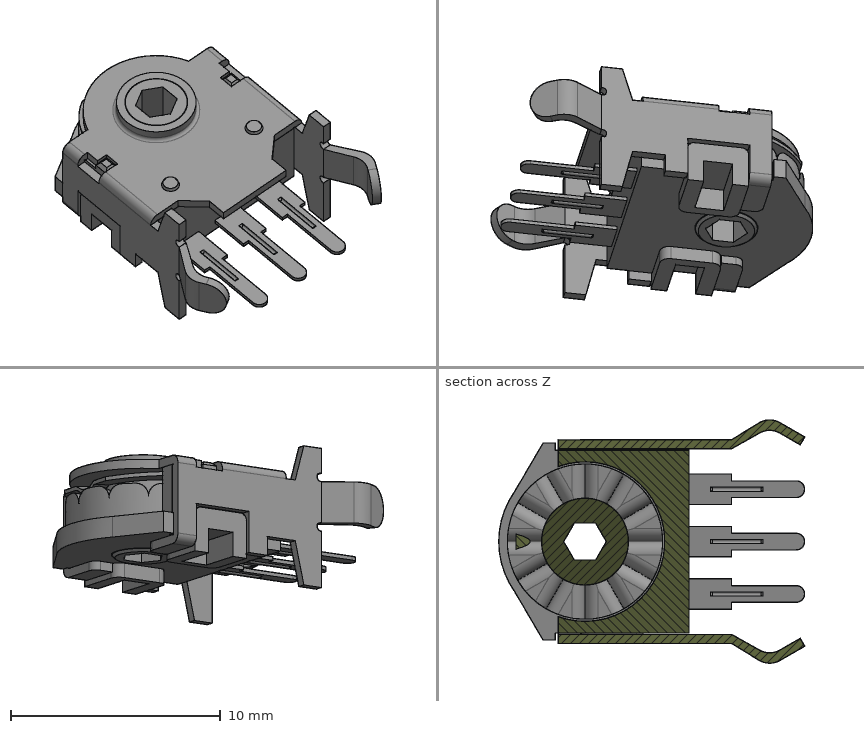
import cadquery as cq
import math


SHEET = 0.44
HALF_WIDTH = 4.86
INNER_HALF_WIDTH = HALF_WIDTH - SHEET
PLATE_BOTTOM = 3.45
PLATE_TOP = PLATE_BOTTOM + SHEET
COVER_FRONT = -1.28
FOLD_END = 4.96
COVER_BACK = 7.0
NOSE_RADIUS = 3.49
PLATE_WIDE_Y = 3.1
TONGUE_START = 5.99
TONGUE_Y = 2.01

BOSS_DIA = 3.8
BOSS_TOP = 4.47
BOSS_FILLET = 0.18
HUB_HOLE_DIA = 3.0

LEG_TOP = 5.18
LEG_BOTTOM = -1.62
LEG_ROOT_X = 5.48
LEG_TIP_X = 5.97
SIDE_LOW_Z = 0.48
SIDE_STEP_X = 3.88

FOOT_WINDOW_X = (-0.2, 2.8)
FOOT_WINDOW_TOP = 1.58
TAB_INNER_Y = 2.28
TAB_CORNER_RADIUS = 0.4

FOLD_WINDOW_X = (-0.2, 1.28)
FOLD_WINDOW_BOTTOM = 3.36
FOLD_WINDOW_INNER_Y = 4.23
NUB_X = (0.51, 1.28)
NUB_Y = (3.66, 4.37)

ARM_BOTTOM = 1.55
ARM_TOP = 3.56
ARM_BEND_RADIUS = 0.98
ARM_BEND_X = 8.8
ARM_SPAN = 11.6
ARM_REACH = ARM_SPAN / 2
ARM_ANGLE = math.radians(30)
ARM_TIP_LENGTH = 1.37
RELIEF_RADIUS = 0.2
RELIEF_X = 6.95

FLOOR_TOP = 1.01
BASE_HALF_WIDTH = NUB_Y[1]
LIP_HALF_WIDTH = 4.7
LIP_RADIUS = 4.12
LIP_ARC_Y = 2.38
LIP_CORNER_X = -2.0
LIP_BACK = -1.42
CAVITY_RADIUS = 3.8
POST_DIA = 0.85
POST_TIP_DIA = 0.73
POST_X = 3.97
POST_Y = 2.69
POST_TOP = 4.03
NUB_TOP = 3.85
NUB_CHAMFER = 0.18
FOOT_X = (-0.18, 2.77)
FOOT_BOTTOM = -0.7
FOOT_TOP = 1.47
FOOT_INNER_Y = 1.99
FOOT_CORNER_RADIUS = 0.47
FOOT_TOP_RADIUS = 0.32
FOOT_NOTCH_X = (0.6, 2.0)
FOOT_NOTCH_TOP = 0.48
FOOT_NOTCH_INNER_Y = FOOT_INNER_Y + FOOT_CORNER_RADIUS

ROTOR_DIA = 7.4
ROTOR_TOP = 2.67
COLLAR_DIA = 4.15
HUB_DIA = 2.95
HUB_BOTTOM = -0.15
HUB_CHAMFER = 0.13
HEX_ACROSS_FLATS = 1.75
NOTCH_COUNT = 12
NOTCH_RADIUS = 0.63

SPRING_THICKNESS = 0.19
SPRING_OUTER_X = -0.36
SPRING_OUTER_RADIUS = 3.46
SPRING_INNER_X = -0.22
SPRING_INNER_RADIUS = 2.38
SPRING_FRONT = -3.36
SPRING_BEND_X = 0.36
SPRING_FRONT_DROP = 0.38
DETENT_HALF_WIDTH = 0.76
DETENT_NOSE_Y = 0.38
DETENT_FLANK_DROP = 0.2
DETENT_DROP = 0.28

PIN_PITCH = 2.5
PIN_WIDTH = 0.8
PIN_SHOULDER_WIDTH = 1.46
PIN_END = 10.47
PIN_BOTTOM = 0.48
PIN_THICKNESS = 0.19
BEAD_RADIUS = 0.1
BEAD_X = (5.99, 8.48)


def block(x, y, z):
    """Box between the two limits given for each axis."""
    size = [abs(limits[1] - limits[0]) for limits in (x, y, z)]
    corner = (min(x), min(y), min(z))
    return cq.Workplane("XY").box(*size, centered=False).translate(corner)


def cylinder(diameter, bottom, top):
    """Cylinder on the rotor axis."""
    return cq.Workplane("XY").workplane(offset=bottom).circle(diameter / 2).extrude(top - bottom)


def both_sides(body):
    """The +Y half feature together with its mirror image on the -Y side."""
    return body.union(body.mirror("XZ"))



def top_plate():
    """Top plate with a round nose in front and a tongue narrowed by slanted edges at the back."""
    nose_y = math.sqrt(NOSE_RADIUS**2 - COVER_FRONT**2)
    outline = (
        cq.Workplane("XY")
        .workplane(offset=PLATE_BOTTOM)
        .moveTo(COVER_FRONT, nose_y)
        .lineTo(COVER_FRONT, INNER_HALF_WIDTH)
        .lineTo(FOLD_END, INNER_HALF_WIDTH)
        .lineTo(FOLD_END, PLATE_WIDE_Y)
        .lineTo(TONGUE_START, TONGUE_Y)
        .lineTo(COVER_BACK, TONGUE_Y)
        .lineTo(COVER_BACK, -TONGUE_Y)
        .lineTo(TONGUE_START, -TONGUE_Y)
        .lineTo(FOLD_END, -PLATE_WIDE_Y)
        .lineTo(FOLD_END, -INNER_HALF_WIDTH)
        .lineTo(COVER_FRONT, -INNER_HALF_WIDTH)
        .lineTo(COVER_FRONT, -nose_y)
        .threePointArc((-NOSE_RADIUS, 0), (COVER_FRONT, nose_y))
        .close()
    )
    return outline.extrude(SHEET)


def boss():
    """Collar on the top plate with a fillet at its foot."""
    radius = BOSS_DIA / 2
    diagonal = BOSS_FILLET * (1 - math.sqrt(0.5))
    return (
        cq.Workplane("XZ")
        .moveTo(0, PLATE_TOP)
        .lineTo(radius + BOSS_FILLET, PLATE_TOP)
        .threePointArc((radius + diagonal, PLATE_TOP + diagonal), (radius, PLATE_TOP + BOSS_FILLET))
        .lineTo(radius, BOSS_TOP)
        .lineTo(0, BOSS_TOP)
        .close()
        .revolve(360, (0, 0), (0, 1))
    )


def side_wall():
    """Flat side wall on the +Y side with the solder legs at its back end."""
    outline = [
        (COVER_FRONT, 0),
        (FOOT_WINDOW_X[0], 0),
        (FOOT_WINDOW_X[0], FOOT_WINDOW_TOP),
        (FOOT_WINDOW_X[1], FOOT_WINDOW_TOP),
        (FOOT_WINDOW_X[1], -SHEET),
        (SIDE_STEP_X, -SHEET),
        (SIDE_STEP_X, SIDE_LOW_Z),
        (LEG_ROOT_X, SIDE_LOW_Z),
        (LEG_TIP_X, LEG_BOTTOM),
        (COVER_BACK, LEG_BOTTOM),
        (COVER_BACK, LEG_TOP),
        (LEG_TIP_X, LEG_TOP),
        (LEG_ROOT_X, PLATE_BOTTOM),
        (COVER_FRONT, PLATE_BOTTOM),
    ]
    wall = cq.Workplane("XZ", origin=(0, HALF_WIDTH, 0)).polyline(outline).close().extrude(SHEET)
    for z in (ARM_BOTTOM - RELIEF_RADIUS, ARM_TOP + RELIEF_RADIUS):
        relief = (
            cq.Workplane("XZ", origin=(RELIEF_X, HALF_WIDTH, z))
            .circle(RELIEF_RADIUS)
            .extrude(SHEET)
        )
        wall = wall.cut(relief)
    return wall


def fold(x, axis_z, upward):
    """Quarter-round sheet fold along X between a side wall and a level sheet."""
    rod = (
        cq.Workplane("YZ", origin=(x[0], INNER_HALF_WIDTH, axis_z))
        .circle(SHEET)
        .extrude(x[1] - x[0])
    )
    far_z = axis_z + (SHEET if upward else -SHEET)
    return rod.intersect(block(x, (INNER_HALF_WIDTH, HALF_WIDTH), (axis_z, far_z)))


def bottom_tab():
    """Tab folded in under the base at the front of the side wall."""
    x = (COVER_FRONT, FOOT_WINDOW_X[0])
    tab = block(x, (TAB_INNER_Y, INNER_HALF_WIDTH), (-SHEET, 0))
    tab = tab.edges("|Z and <X and <Y").fillet(TAB_CORNER_RADIUS)
    return tab.union(fold(x, 0, upward=False))


def arm():
    """Spring arm on the +Y side: bent outwards, back inwards, with a round end."""
    sine, cosine = math.sin(ARM_ANGLE), math.cos(ARM_ANGLE)
    start_x = ARM_BEND_X - ARM_BEND_RADIUS * sine
    end_x = ARM_BEND_X + ARM_BEND_RADIUS * sine
    outer_y = ARM_REACH - ARM_BEND_RADIUS * (1 - cosine)
    inner_shift = SHEET / cosine
    height = ARM_TOP - ARM_BOTTOM
    strip = (
        cq.Workplane("XY")
        .workplane(offset=ARM_BOTTOM)
        .moveTo(COVER_BACK, INNER_HALF_WIDTH)
        .lineTo(start_x, outer_y - inner_shift)
        .threePointArc((ARM_BEND_X, ARM_REACH - inner_shift), (end_x, outer_y - inner_shift))
        .lineTo(end_x, outer_y)
        .threePointArc((ARM_BEND_X, ARM_REACH), (start_x, outer_y))
        .lineTo(COVER_BACK, HALF_WIDTH)
        .close()
        .extrude(height)
    )
    tip_plane = cq.Plane(
        origin=(end_x, outer_y, ARM_BOTTOM),
        xDir=(cosine, -sine, 0),
        normal=(-sine, -cosine, 0),
    )
    straight = ARM_TIP_LENGTH - height / 2
    tip = (
        cq.Workplane(tip_plane)
        .lineTo(straight, 0)
        .threePointArc((ARM_TIP_LENGTH, height / 2), (straight, height))
        .lineTo(0, height)
        .close()
        .extrude(SHEET)
    )
    return strip.union(tip)


def fold_window():
    """Opening across the fold, with a side pocket that takes the nub of the base."""
    slot = block(FOLD_WINDOW_X, (FOLD_WINDOW_INNER_Y, HALF_WIDTH), (FOLD_WINDOW_BOTTOM, PLATE_TOP))
    pocket = block(NUB_X, (NUB_Y[0], HALF_WIDTH), (FOLD_WINDOW_BOTTOM, PLATE_TOP))
    return slot.union(pocket)


def make_cover():
    side = (
        side_wall()
        .union(fold((COVER_FRONT, FOLD_END), PLATE_BOTTOM, upward=True))
        .union(bottom_tab())
        .union(arm())
    )
    post_holes = (
        cq.Workplane("XY")
        .workplane(offset=PLATE_BOTTOM)
        .pushPoints([(POST_X, POST_Y), (POST_X, -POST_Y)])
        .circle(POST_DIA / 2)
        .extrude(SHEET)
    )
    return (
        top_plate()
        .union(boss())
        .union(both_sides(side))
        .cut(cylinder(HUB_HOLE_DIA, PLATE_BOTTOM, BOSS_TOP))
        .cut(post_holes)
        .cut(both_sides(fold_window()))
    )



def front_lip():
    """Floor in front of the cover: a round nose with slanted flanks."""
    arc_x = -math.sqrt(LIP_RADIUS**2 - LIP_ARC_Y**2)
    return (
        cq.Workplane("XY")
        .moveTo(LIP_BACK, -LIP_HALF_WIDTH)
        .lineTo(LIP_CORNER_X, -LIP_HALF_WIDTH)
        .lineTo(arc_x, -LIP_ARC_Y)
        .threePointArc((-LIP_RADIUS, 0), (arc_x, LIP_ARC_Y))
        .lineTo(LIP_CORNER_X, LIP_HALF_WIDTH)
        .lineTo(LIP_BACK, LIP_HALF_WIDTH)
        .close()
        .extrude(FLOOR_TOP)
    )


def foot():
    """Foot under the base on the +Y side, with a pad that rises in the cover's window."""
    lower = block(FOOT_X, (FOOT_INNER_Y, LIP_HALF_WIDTH), (FOOT_BOTTOM, 0))
    lower = lower.edges("|Z and <Y").fillet(FOOT_CORNER_RADIUS)
    pad = block(FOOT_X, (BASE_HALF_WIDTH, LIP_HALF_WIDTH), (0, FOOT_TOP))
    pad = pad.edges("|Y and >Z").fillet(FOOT_TOP_RADIUS)
    return lower.union(pad)


def nub():
    """Nub with bevelled top that fills the pocket of the cover's fold window."""
    return block(NUB_X, NUB_Y, (PLATE_BOTTOM, NUB_TOP)).faces(">Z").chamfer(NUB_CHAMFER)


def post():
    """Post through the cover, tapered where it stands above the top plate."""
    return (
        cq.Workplane("XZ")
        .moveTo(0, PLATE_BOTTOM)
        .lineTo(POST_DIA / 2, PLATE_BOTTOM)
        .lineTo(POST_DIA / 2, PLATE_TOP)
        .lineTo(POST_TIP_DIA / 2, POST_TOP)
        .lineTo(0, POST_TOP)
        .close()
        .revolve(360, (0, 0), (0, 1))
        .translate((POST_X, POST_Y, 0))
    )


def make_base():
    y = (-BASE_HALF_WIDTH, BASE_HALF_WIDTH)
    foot_notch = block(
        FOOT_NOTCH_X,
        (FOOT_NOTCH_INNER_Y, LIP_HALF_WIDTH),
        (FOOT_BOTTOM, FOOT_NOTCH_TOP),
    )
    return (
        block((COVER_FRONT, FOLD_END), y, (0, PLATE_BOTTOM))
        .union(block((LIP_BACK, COVER_FRONT), y, (0, FLOOR_TOP)))
        .union(front_lip())
        .cut(cylinder(2 * CAVITY_RADIUS, FLOOR_TOP, PLATE_BOTTOM))
        .cut(cylinder(HUB_HOLE_DIA, 0, FLOOR_TOP))
        .union(both_sides(foot().union(nub()).union(post())))
        .cut(both_sides(foot_notch))
    )



def detent_notch():
    """Radial notch on the -X side; its two convex quarter-round flanks meet in a cusp."""
    middle = NOTCH_RADIUS * math.sqrt(0.5)
    return (
        cq.Workplane("YZ", origin=(-ROTOR_DIA / 2, 0, ROTOR_TOP - NOTCH_RADIUS))
        .moveTo(-NOTCH_RADIUS, NOTCH_RADIUS)
        .threePointArc((middle - NOTCH_RADIUS, middle), (0, 0))
        .threePointArc((NOTCH_RADIUS - middle, middle), (NOTCH_RADIUS, NOTCH_RADIUS))
        .close()
        .extrude(ROTOR_DIA / 2)
    )


def make_rotor():
    rotor = cylinder(ROTOR_DIA, FLOOR_TOP, ROTOR_TOP)
    notch = detent_notch()
    for index in range(NOTCH_COUNT):
        rotor = rotor.cut(notch.rotate((0, 0, 0), (0, 0, 1), index * 360 / NOTCH_COUNT))
    hub = cylinder(HUB_DIA, HUB_BOTTOM, BOSS_TOP).faces("<Z").chamfer(HUB_CHAMFER)
    hex_hole = (
        cq.Workplane("XY")
        .workplane(offset=HUB_BOTTOM)
        .polygon(6, HEX_ACROSS_FLATS / math.cos(math.pi / 6))
        .extrude(BOSS_TOP - HUB_BOTTOM)
    )
    return rotor.union(cylinder(COLLAR_DIA, FLOOR_TOP, PLATE_BOTTOM)).union(hub).cut(hex_hole)



def make_spring():
    """Flat ring under the cover whose front part slopes down to a detent nose."""
    bottom = PLATE_BOTTOM - SPRING_THICKNESS
    ring_z = (bottom - DETENT_DROP, PLATE_BOTTOM)
    outer_disc = cylinder(2 * SPRING_OUTER_RADIUS, *ring_z).translate((SPRING_OUTER_X, 0, 0))
    opening = cylinder(2 * SPRING_INNER_RADIUS, *ring_z).translate((SPRING_INNER_X, 0, 0))
    ring = outer_disc.cut(opening)

    side = SPRING_OUTER_RADIUS
    rear = block((SPRING_BEND_X, side), (-side, side), (bottom, PLATE_BOTTOM)).intersect(ring)
    section = cq.Workplane("YZ", origin=(SPRING_FRONT, 0, bottom))
    section = section.moveTo(-side, SPRING_THICKNESS)
    for z, direction in ((0, 1), (SPRING_THICKNESS, -1)):
        section = (
            section.lineTo(-direction * side, z)
            .lineTo(-direction * DETENT_HALF_WIDTH, z)
            .lineTo(-direction * DETENT_NOSE_Y, z - DETENT_FLANK_DROP)
            .threePointArc((0, z - DETENT_DROP), (direction * DETENT_NOSE_Y, z - DETENT_FLANK_DROP))
            .lineTo(direction * DETENT_HALF_WIDTH, z)
            .lineTo(direction * side, z)
        )
    front = section.close().extrude(SPRING_BEND_X - SPRING_FRONT).intersect(ring)
    slope = math.degrees(math.atan2(SPRING_FRONT_DROP, SPRING_BEND_X - SPRING_FRONT))
    front = front.rotate((SPRING_BEND_X, 0, PLATE_BOTTOM), (SPRING_BEND_X, 1, PLATE_BOTTOM), -slope)
    return rear.union(front)



def bead(z):
    """Half-buried rod along the pin with bevelled ends, centred on height z."""
    x0, x1 = BEAD_X
    rod = cq.Workplane("YZ", origin=(x0, 0, z)).circle(BEAD_RADIUS).extrude(x1 - x0)
    lower_half = [
        (x0, z),
        (x0 + BEAD_RADIUS, z - BEAD_RADIUS),
        (x1 - BEAD_RADIUS, z - BEAD_RADIUS),
        (x1, z),
    ]
    bevelled = cq.Workplane("XZ").polyline(lower_half).close().extrude(BEAD_RADIUS, both=True)
    return rod.intersect(bevelled)


def make_pin(y):
    """Flat pin with a wide shoulder behind the base, a round end and a pressed stiffening bead."""
    top = PIN_BOTTOM + PIN_THICKNESS
    z = (PIN_BOTTOM, top)
    shoulder = block((FOLD_END, COVER_BACK), (-PIN_SHOULDER_WIDTH / 2, PIN_SHOULDER_WIDTH / 2), z)
    end_centre = PIN_END - PIN_WIDTH / 2
    blade = block((COVER_BACK, end_centre), (-PIN_WIDTH / 2, PIN_WIDTH / 2), z)
    end = cylinder(PIN_WIDTH, *z).translate((end_centre, 0, 0))
    pin = shoulder.union(blade).union(end).union(bead(PIN_BOTTOM)).cut(bead(top))
    return pin.translate((0, y, 0))


cover = make_cover()
base = make_base()
rotor = make_rotor()
spring = make_spring()
pins = [make_pin(index * PIN_PITCH) for index in (-1, 0, 1)]

result = cq.Compound.makeCompound(
    [body.solids().val() for body in (cover, base, rotor, spring, *pins)]
)